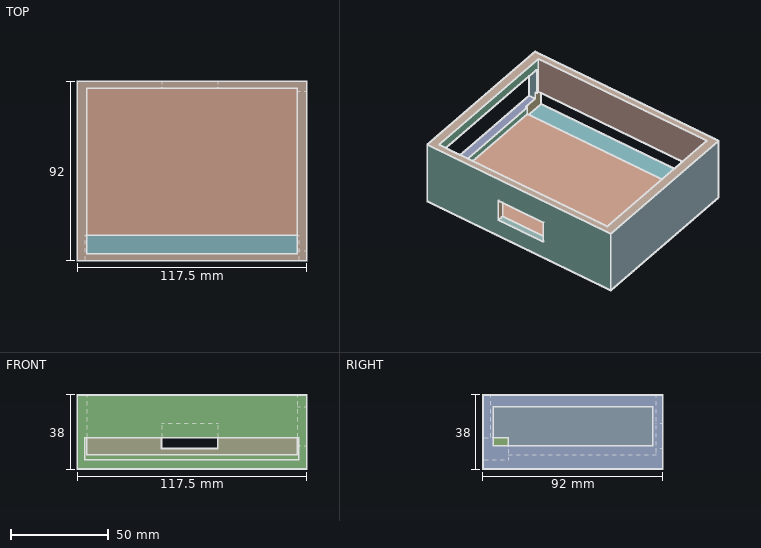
import cadquery as cq

length = 117.5
width = 92.0
height = 38.0

end_wall = 4.9
side_wall = 3.6
floor_thickness = 7.5

slot_margin = 4.0
slot_bottom = 4.9
slot_top = 16.0
slot_depth = 13.0

back_window_left = 43.2
back_window_length = 28.7
back_window_bottom = 10.7
back_window_top = 23.6

end_window_margin = 5.2
end_window_bottom = 12.0
end_window_top = 31.8

overcut = 1.2

left, right = -length / 2, length / 2
front, back = -width / 2, width / 2


def box_between(x_range, y_range, z_range):
    """Return a box spanning the given (low, high) ranges."""
    sizes = [high - low for low, high in (x_range, y_range, z_range)]
    corner = (x_range[0], y_range[0], z_range[0])
    return cq.Workplane("XY").box(*sizes, centered=False).translate(corner)


body = box_between((left, right), (front, back), (0, height))

cavity = box_between(
    (left + end_wall, right - end_wall),
    (front + side_wall, back - side_wall),
    (floor_thickness, height + overcut),
)

front_slot = box_between(
    (left + slot_margin, right - slot_margin),
    (front - overcut, front + slot_depth),
    (slot_bottom, slot_top),
)

back_window_start = left + back_window_left
back_window = box_between(
    (back_window_start, back_window_start + back_window_length),
    (back - side_wall - overcut, back + overcut),
    (back_window_bottom, back_window_top),
)

end_window = box_between(
    (right - end_wall - overcut, right + overcut),
    (front + end_window_margin, back - end_window_margin),
    (end_window_bottom, end_window_top),
)

result = body.cut(cavity).cut(front_slot).cut(back_window).cut(end_window)